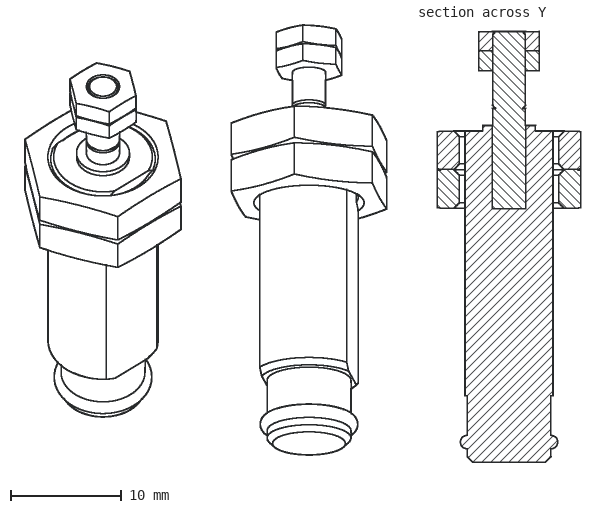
import cadquery as cq
import math

total_height = 39.0

barrel_diameter = 10.0
barrel_minor_diameter = 8.95
barrel_chamfer = (barrel_diameter - barrel_minor_diameter) / 2
barrel_bottom = 6.0
barrel_top = 30.0
flats_width = 8.0
spigot_diameter = 7.6
foot_chamfer = 0.5
bead_thickness = 1.25
bead_diameter = spigot_diameter + bead_thickness
bead_center_height = 1.85
collar_diameter = 4.8
collar_height = 0.5

rod_diameter = 3.0
rod_minor_diameter = 2.45
rod_chamfer = (rod_diameter - rod_minor_diameter) / 2
thread_start = 32.0

nut_count = 2
mounting_nut_width = 13.0
mounting_nut_height = 3.5
mounting_nut_face_diameter = 12.35
lock_nut_width = 5.5
lock_nut_height = 1.8
lock_nut_face_diameter = 5.3
corner_chamfer_slope = 0.2
envelope_margin = 0.4

socket_depth = nut_count * mounting_nut_height


def cylinder(diameter, bottom, top):
    return cq.Workplane("XY").workplane(offset=bottom).circle(diameter / 2).extrude(top - bottom)


def make_rod():
    bottom = barrel_top - socket_depth
    shank = cylinder(rod_diameter, bottom, thread_start)
    thread = cylinder(rod_diameter, thread_start, total_height).edges("%CIRCLE").chamfer(rod_chamfer)
    return shank.union(thread)


def make_bead():
    """Ring with a half-round outer face, reaching in to the spigot's axis."""
    half = bead_thickness / 2
    arc_center = spigot_diameter / 2
    return (
        cq.Workplane("XZ")
        .moveTo(0, bead_center_height - half)
        .lineTo(arc_center, bead_center_height - half)
        .threePointArc((bead_diameter / 2, bead_center_height), (arc_center, bead_center_height + half))
        .lineTo(0, bead_center_height + half)
        .close()
        .revolve(360, (0, 0, 0), (0, 1, 0))
    )


def make_housing(rod):
    barrel = cylinder(barrel_diameter, barrel_bottom, barrel_top).edges("%CIRCLE").chamfer(barrel_chamfer)
    flats = (
        cq.Workplane("XY")
        .workplane(offset=barrel_bottom)
        .rect(flats_width, barrel_diameter)
        .extrude(barrel_top - barrel_bottom)
    )
    spigot = cylinder(spigot_diameter, 0, barrel_bottom).faces("<Z").chamfer(foot_chamfer)
    collar = cylinder(collar_diameter, barrel_top, barrel_top + collar_height)
    return barrel.intersect(flats).union(spigot).union(make_bead()).union(collar).cut(rod)


def corner_chamfer_envelope(width, height, face_diameter):
    """Round blank, coned at both ends, that trims the corners of a hexagon."""
    corner_radius = width / math.sqrt(3)
    outer_radius = corner_radius + envelope_margin
    face_radius = face_diameter / 2
    drop = (outer_radius - face_radius) * corner_chamfer_slope
    return (
        cq.Workplane("XZ")
        .polyline(
            [
                (0, 0),
                (face_radius, 0),
                (outer_radius, drop),
                (outer_radius, height - drop),
                (face_radius, height),
                (0, height),
            ]
        )
        .close()
        .revolve(360, (0, 0, 0), (0, 1, 0))
    )


def make_nut(width, height, face_diameter, thread_diameter, minor_diameter, bottom, mating_body):
    """Hexagon nut with corners on the Y axis, fitted around its mating body."""
    corner_diameter = 2 * width / math.sqrt(3)
    hexagon = (
        cq.Workplane("XY")
        .transformed(rotate=(0, 0, 90))
        .polygon(6, corner_diameter)
        .extrude(height)
    )
    nut = hexagon.intersect(corner_chamfer_envelope(width, height, face_diameter))
    bore = cylinder(minor_diameter, 0, height)
    countersink = (thread_diameter - minor_diameter) / 2
    nut = nut.cut(bore).edges(cq.selectors.RadiusNthSelector(0)).chamfer(countersink)
    return nut.translate((0, 0, bottom)).cut(mating_body)


rod = make_rod()
housing = make_housing(rod)

mounting_nuts = []
lock_nuts = []
for position in range(1, nut_count + 1):
    mounting_nuts.append(
        make_nut(
            mounting_nut_width,
            mounting_nut_height,
            mounting_nut_face_diameter,
            barrel_diameter,
            barrel_minor_diameter,
            barrel_top - position * mounting_nut_height,
            housing,
        ).solids().val()
    )
    lock_nuts.append(
        make_nut(
            lock_nut_width,
            lock_nut_height,
            lock_nut_face_diameter,
            rod_diameter,
            rod_minor_diameter,
            total_height - position * lock_nut_height,
            rod,
        ).solids().val()
    )

result = cq.Compound.makeCompound([housing.solids().val(), rod.solids().val(), *mounting_nuts, *lock_nuts])